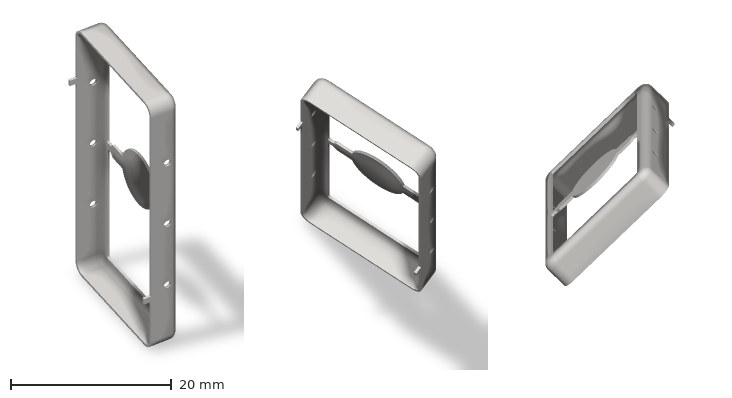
import cadquery as cq

width = 18.3
height = 40.0
frame_depth = 4.0
wall = 0.35
plate_thickness = 0.35
corner_radius = 1.6
outer_edge_radius = 1.0
inner_edge_radius = 0.75

window_inset = 1.6
window_corner_radius = 0.25
disc_diameter = 8.0
arm_width = 2.1
arm_half_length = 6.7
neck_width = 1.05
arm_chamfer = (arm_width - neck_width) / 2

hole_diameter = 1.0
hole_pitch = 10.0
hole_count = 3
hole_from_plate = 1.6
tab_width = 0.9
tab_length = 1.0
tab_root = 0.35
tab_height = 11.3

window_width = width - 2 * window_inset
window_height = height - 2 * window_inset
cavity_depth = frame_depth - plate_thickness


def block(size_x, size_z, y_start, y_end):
    """Box centred on the Y axis between two Y positions."""
    box = cq.Workplane("XY").box(size_x, y_end - y_start, size_z)
    return box.translate((0, (y_start + y_end) / 2, 0))


def rounded_tray(size_x, size_z, depth, side_radius, edge_radius):
    """Solid with rounded corners and a rounded +Y edge."""
    tray = block(size_x, size_z, 0, depth).edges("|Y").fillet(side_radius)
    return tray.faces(">Y").edges().fillet(edge_radius)


def make_bridge():
    """Central disc on two arms, which narrow to necks at the frame."""
    arm_outline = [
        (-arm_half_length, neck_width / 2),
        (-arm_half_length + arm_chamfer, arm_width / 2),
        (arm_half_length - arm_chamfer, arm_width / 2),
        (arm_half_length, neck_width / 2),
        (arm_half_length, -neck_width / 2),
        (arm_half_length - arm_chamfer, -arm_width / 2),
        (-arm_half_length + arm_chamfer, -arm_width / 2),
        (-arm_half_length, -neck_width / 2),
    ]
    plate_face = cq.Workplane("XZ", origin=(0, frame_depth, 0))
    arms = plate_face.polyline(arm_outline).close().extrude(plate_thickness)
    neck = block(window_width, neck_width, cavity_depth, frame_depth)
    disc = plate_face.circle(disc_diameter / 2).extrude(plate_thickness)
    return neck.union(arms).union(disc)


def make_window():
    """Two rounded openings, above and below the bridge."""
    opening_height = (window_height - neck_width) / 2
    opening_centre = (window_height + neck_width) / 4
    opening = block(window_width, opening_height, cavity_depth, frame_depth)
    opening = opening.edges("|Y").fillet(window_corner_radius)
    upper = opening.translate((0, 0, opening_centre))
    lower = opening.translate((0, 0, -opening_centre))
    return upper.union(lower).cut(make_bridge())


def make_side_holes():
    """Row of round holes through both long side walls."""
    return (
        cq.Workplane("YZ", origin=(-width / 2, 0, 0))
        .center(frame_depth - hole_from_plate, 0)
        .rarray(0.4, hole_pitch, 1, hole_count)
        .circle(hole_diameter / 2)
        .extrude(width)
    )


def make_tab(side):
    """Tab extending a side wall past the rim; side is -1 or 1 along X."""
    tab = block(wall, tab_width, -tab_length, tab_root)
    return tab.translate((side * (width - wall) / 2, 0, -side * tab_height))


outer = rounded_tray(width, height, frame_depth, corner_radius, outer_edge_radius)
cavity = rounded_tray(
    width - 2 * wall,
    height - 2 * wall,
    cavity_depth,
    corner_radius - wall,
    inner_edge_radius,
)
result = outer.cut(cavity).cut(make_window()).cut(make_side_holes())
for side in (-1, 1):
    result = result.union(make_tab(side))